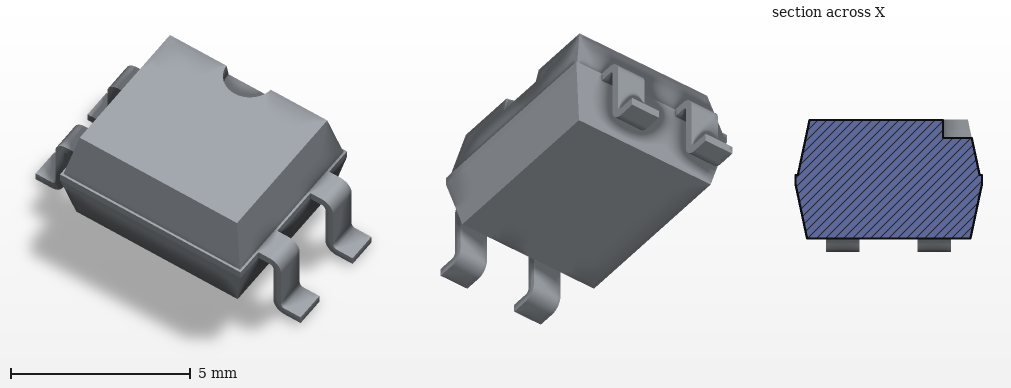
import cadquery as cq
import math

span_x = 8.95
total_height = 3.68
standoff = 0.38

body_x = 6.1
body_y = 5.2
band_height = 0.254
draft_angle = 12
upper_ledge = 0.07
half_height = (total_height - standoff - band_height) / 2
taper_inset = half_height * math.tan(math.radians(draft_angle))
band_bottom = standoff + half_height
band_top = band_bottom + band_height

notch_radius = 0.75
notch_depth = 0.5
notch_center_y = body_y / 2 - 0.33

lead_thickness = band_height
lead_width = 0.92
lead_pitch = 2.54
leg_span_x = 7.62
bend_inner_radius = 0.127
bend_outer_radius = bend_inner_radius + lead_thickness
lead_embed = 0.5


def frustum(size_x, size_y, z_start, height):
    """Tapered block growing from z_start; a negative height grows downwards."""
    return (
        cq.Workplane("XY")
        .workplane(offset=z_start)
        .rect(size_x, size_y)
        .workplane(offset=height)
        .rect(size_x - 2 * taper_inset, size_y - 2 * taper_inset)
        .loft(ruled=True)
    )


def make_body():
    band = (
        cq.Workplane("XY")
        .workplane(offset=band_bottom)
        .rect(body_x, body_y)
        .extrude(band_height)
    )
    upper = frustum(body_x - 2 * upper_ledge, body_y - 2 * upper_ledge, band_top, half_height)
    lower = frustum(body_x, body_y, band_bottom, -half_height)
    return band.union(upper).union(lower)


def make_notch():
    return (
        cq.Workplane("XY")
        .workplane(offset=total_height - notch_depth)
        .center(0, notch_center_y)
        .circle(notch_radius)
        .extrude(notch_depth)
    )


def make_lead(center_y):
    """Lead on the +X side: shoulder in the body, vertical leg, outward foot."""
    root_x = body_x / 2 - lead_embed
    leg_outer_x = leg_span_x / 2
    leg_inner_x = leg_outer_x - lead_thickness
    toe_x = span_x / 2
    shoulder_bottom = band_top - lead_thickness
    upper_bend_x = leg_outer_x - bend_outer_radius
    upper_bend_z = band_top - bend_outer_radius
    lower_bend_x = leg_inner_x + bend_outer_radius
    lower_bend_z = bend_outer_radius
    diagonal = math.sqrt(0.5)
    outer_offset = bend_outer_radius * diagonal
    inner_offset = bend_inner_radius * diagonal
    return (
        cq.Workplane("XZ", origin=(0, center_y, 0))
        .moveTo(root_x, band_top)
        .lineTo(upper_bend_x, band_top)
        .threePointArc(
            (upper_bend_x + outer_offset, upper_bend_z + outer_offset),
            (leg_outer_x, upper_bend_z),
        )
        .lineTo(leg_outer_x, lower_bend_z)
        .threePointArc(
            (lower_bend_x - inner_offset, lower_bend_z - inner_offset),
            (lower_bend_x, lead_thickness),
        )
        .lineTo(toe_x, lead_thickness)
        .lineTo(toe_x, 0)
        .lineTo(lower_bend_x, 0)
        .threePointArc(
            (lower_bend_x - outer_offset, lower_bend_z - outer_offset),
            (leg_inner_x, lower_bend_z),
        )
        .lineTo(leg_inner_x, upper_bend_z)
        .threePointArc(
            (upper_bend_x + inner_offset, upper_bend_z + inner_offset),
            (upper_bend_x, shoulder_bottom),
        )
        .lineTo(root_x, shoulder_bottom)
        .close()
        .extrude(lead_width / 2, both=True)
    )


result = make_body().cut(make_notch())
for lead_y in (-lead_pitch / 2, lead_pitch / 2):
    lead = make_lead(lead_y)
    result = result.union(lead).union(lead.mirror("YZ"))